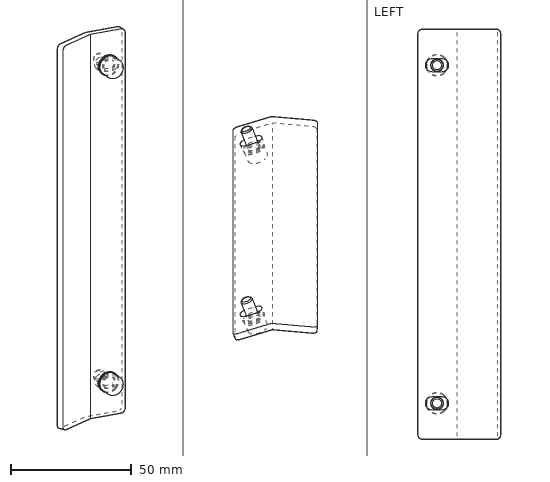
import cadquery as cq
import math

plate_height = 170.0
plate_thickness = 3.0
flat_leg_length = 17.0
bent_leg_length = 19.2
outer_bend_radius = 1.7
bend_angle = math.radians(25)
corner_radius = 2.0

shank_diameter = 5.0
shank_length = 10.0
tip_chamfer = 0.6
head_diameter = 8.5
head_height = 5.0
head_fillet = 0.5
washer_outer_diameter = 9.0
washer_hole_diameter = 5.3
washer_thickness = 0.8

slot_length = 9.5
slot_width = 5.5
screw_y = -8.0
screw_end_distance = 15.0
screw_heights = [screw_end_distance, plate_height - screw_end_distance]

washer_face_x = shank_length - washer_thickness
plate_face_x = washer_face_x - plate_thickness


def x_facing_plane(x, z):
    """Plane on the screw axis at height z, facing +X, with local x along Y."""
    return cq.Workplane("YZ", origin=(x, screw_y, z))


def make_plate():
    along_x, along_y = math.sin(bend_angle), -math.cos(bend_angle)
    across_x, across_y = math.cos(bend_angle), math.sin(bend_angle)

    outer_bend = (plate_face_x, -flat_leg_length)
    outer_tip = (
        outer_bend[0] + bent_leg_length * along_x,
        outer_bend[1] + bent_leg_length * along_y,
    )
    inner_tip = (
        outer_tip[0] + plate_thickness * across_x,
        outer_tip[1] + plate_thickness * across_y,
    )
    inner_bend = (
        washer_face_x,
        outer_bend[1] + plate_thickness * math.tan(bend_angle / 2),
    )
    plate = (
        cq.Workplane("XY")
        .polyline([
            (plate_face_x, 0),
            outer_bend,
            outer_tip,
            inner_tip,
            inner_bend,
            (washer_face_x, 0),
        ])
        .close()
        .extrude(plate_height)
    )

    bend_point = (*outer_bend, plate_height / 2)
    plate = plate.edges(cq.NearestToPointSelector(bend_point)).fillet(outer_bend_radius)

    plate = plate.faces(">Y").edges("|X").fillet(corner_radius)
    end_face = cq.DirectionMinMaxSelector(cq.Vector(along_x, along_y, 0), True)
    across_edges = cq.ParallelDirSelector(cq.Vector(across_x, across_y, 0))
    plate = plate.faces(end_face).edges(across_edges).fillet(corner_radius)

    for z in screw_heights:
        slot = x_facing_plane(plate_face_x, z).slot2D(slot_length, slot_width).extrude(plate_thickness)
        plate = plate.cut(slot)
    return plate


def make_washer(z):
    return (
        x_facing_plane(washer_face_x, z)
        .circle(washer_outer_diameter / 2)
        .circle(washer_hole_diameter / 2)
        .extrude(washer_thickness)
    )


def make_screw(z):
    shank = (
        x_facing_plane(0, z)
        .circle(shank_diameter / 2)
        .extrude(shank_length)
        .faces("<X")
        .chamfer(tip_chamfer)
    )
    head = (
        x_facing_plane(shank_length, z)
        .circle(head_diameter / 2)
        .extrude(head_height)
        .faces(">X")
        .edges()
        .fillet(head_fillet)
    )
    return shank.union(head)


plate = make_plate()
washers = [make_washer(z) for z in screw_heights]
screws = [make_screw(z) for z in screw_heights]

result = cq.Compound.makeCompound([body.val() for body in [plate, *washers, *screws]])